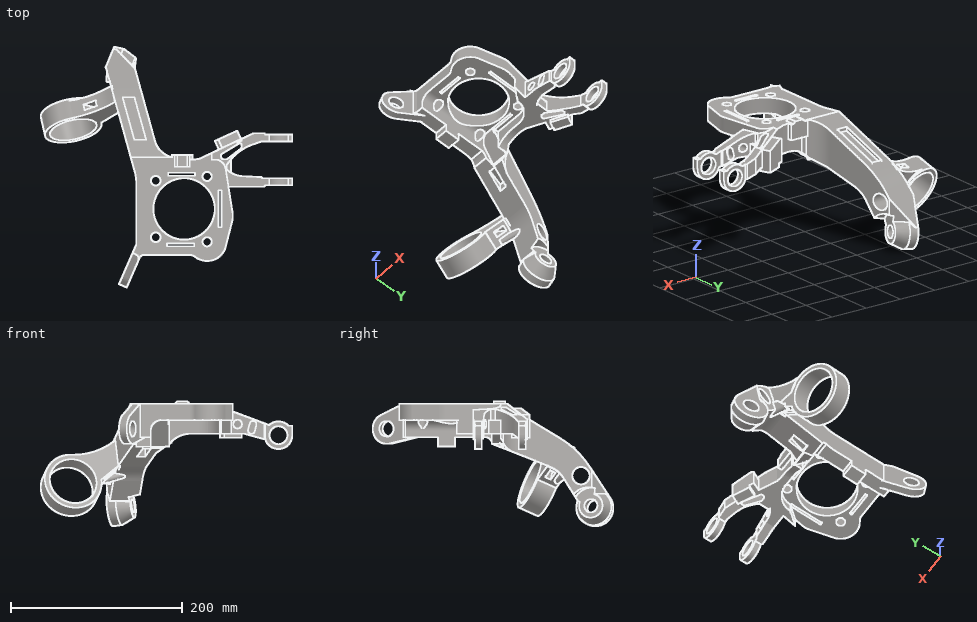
import cadquery as cq
import math


PLATE_THICKNESS = 19.4
PLATE_LEFT = -55.7
PLATE_FRONT = -53.7
PLATE_BACK = 57.5
BORE_DIAMETER = 71.3
LEFT_HOLE_DIAMETER = 11.0
RIGHT_HOLE_DIAMETER = 10.4
LEFT_HOLES = [(-33.0, 32.8), (-33.0, -33.0)]
REAR_RIGHT_HOLE = (26.8, 37.8)
FRONT_RIGHT_HOLE = (26.8, -38.3)
CORNER_RADIUS = 22.5
SLOT_WIDTH = 3.0

LEG_DEPTH = 39.5
LEG_INNER_X = -38.7
LEG_FILLET = 12.0
TAB_DEPTH = 50.3
TAB_LENGTH = 20.1
TAB_CENTER_Y = -5.6
REAR_WALL_DEPTH = 35.3
HOLLOW_CENTER = (17.6, 23.0)
HOLLOW_RADIUS = 24.0
WALL_END_Y = 5.0
WALL_RIGHT = 60.0
WALL_LEFT = -17.0
WALL_LEFT_Z = -47.0
WALL_SLOPE_START_Y = 38.5
WALL_SLOPE_END_Z = -51.5

CLIP_HEIGHT = 2.9
CLIP_CHAMFER = 3.0
CLIP_CENTER_X = -2.1
CLIP_BACK = 63.0
CLIP_FRONT = 49.3
CLIP_WIDTH = 17.2
CLIP_HEAD_WIDTH = 24.2
CLIP_HEAD_DEPTH = 5.3

ARM_ROOT_Y = 41.4
ARM_BACK_Y = 60.3
ARM_LEAN = 0.276
ARM_LEFT_AT_BACK = -62.3
ARM_WIDTH_X = 33.7
ARM_FLARE_X = -14.2
ARM_FLARE_Y = 80.0
ARM_END_Y = 163.5
ARM_REACH_Y = 190.0
ARM_TOP_SLOPE = 0.607
ARM_BEND_Y = 129.8
ARM_HOLE_DIAMETER = 20.0
ARM_HOLE_YZ = (151.0, -84.0)
ARM_POCKET_DEPTH = 5.0
ARM_POCKET_WIDTH = 13.8
ARM_POCKET_INSET = 9.9
ARM_POCKET_END_Y = 80.6
UNDER_POCKET_NEAR_Y = 62.0
UNDER_POCKET_FAR_Y = 86.0
UNDER_POCKET_INSET = 14.5
UNDER_POCKET_WIDTH = 9.5
UNDER_POCKET_ROOF_Z = -50.0

BALL_FACE_CENTER = (-85.3, 168.3, -122.1)
BALL_AXIS = (0.968, -0.22, 0.12)
BALL_RADIUS = 21.0
BALL_TIP_RADIUS = 14.0
BALL_RIM_LENGTH = 11.0
BALL_LENGTH = 26.7
BALL_HOLE_RADIUS = 9.6
BALL_HOLE_TIP_RADIUS = 7.7
TIP_CLEARANCE_RADIUS = 21.0

RING_FACE_CENTER = (-129.0, 92.2, -90.3)
RING_NORMAL = (0.2, -0.894, 0.402)
RING_X_DIR = (0.98, 0.182, -0.082)
RING_LENGTH = 24.5
RING_OUTER_RADIUS = 33.8
RING_BORE_RADIUS = 27.75
RING_SLOT_WIDTH = 14.0
RING_SLOT_THICKNESS = 7.0
RING_SLOT_DEPTH = 9.5
RING_SLOT_CENTER = (33.0, 28.0)
RING_SLOT_LENGTH = 70.0
RING_WEB_THINNING = 3.2
RING_TAPER_START = 22.0
RING_TAPER_END = 38.0
GUSSET_RADIUS = 4.0
GUSSET_DEPTH = 21.0
GUSSET_START = (39.5, 13.5)
GUSSET_END = (77.3, 28.5)

EYE_X = 109.8
EYE_Z = -36.9
EYE_RADIUS = 16.2
EYE_HOLE_RADIUS = 10.3
EYE_THICKNESS = 8.3
EYE_FRONT_FACES = [27.4, 78.4]
EYE_STOP_TOP = -25.6
EYE_STOP_LENGTH = 8.0
FORK_TOP_START_X = 31.9
FORK_TOP_SLOPE = 0.372
FORK_END_X = 98.9
FORK_WINDOW_FILLET = 1.8
FORK_HOLE_RADIUS = 5.1
FORK_HOLE_XZ = (62.3, -24.0)
FORK_SLOT_XZ = (79.3, -27.8)
FORK_SLOT_LENGTH = 15.4
FORK_SLOT_WIDTH = 8.0
FORK_SLOT_LEAN = 75.0
PRONG_CUT_FRONT = 20.0
PRONG_CUT_LENGTH = 30.0
BRIDGE_START_X = 45.0
BRIDGE_END_X = 54.6
BRIDGE_CENTER_Y = 50.5
BRIDGE_WIDTH = 14.0
BLOCK_ORIGIN = (41.0, 67.5, 0)
BLOCK_ANGLE = 24.6
BLOCK_LENGTH = 28.8
BLOCK_WIDTH = 12.8
BLOCK_TOP_Z = -5.3
BLOCK_END_Z = -13.0
BLOCK_DEPTH = 40.0
BLOCK_ROUND = 4.5
BLOCK_FOOT_INSET = 6.5

LUG_THICKNESS = 10.0
LUG_ANGLE = 23.6
LUG_ROOT = (-54.9, -39.4)
LUG_EYE_DISTANCE = 35.0
LUG_EYE_Z = -29.4
LUG_UPPER_ANGLE = 66.0
LUG_LOWER_ANGLE = -100.0
LUG_FLAT_LENGTH = 13.0
LUG_RADIUS = 17.6
LUG_HOLE_DIAMETER = 18.0

TOOL_REACH = 200.0
MARGIN = 5.0


def prism_z(sketch, bottom, top):
    """Extrude a closed XY outline between two heights."""
    return sketch.extrude(top - bottom).translate((0, 0, bottom))


def xy_outline():
    return cq.Workplane("XY")


def fork_top_z(x):
    return -FORK_TOP_SLOPE * (x - FORK_TOP_START_X)


def arm_left_x(y):
    return ARM_LEFT_AT_BACK - ARM_LEAN * (y - ARM_BACK_Y)


def arm_top_z(y):
    return -ARM_TOP_SLOPE * (y - ARM_BACK_Y)


def plate_outline():
    corner_x, corner_y = FRONT_RIGHT_HOLE
    bulge_angle = math.radians(-60)
    return (
        xy_outline()
        .moveTo(PLATE_LEFT, PLATE_FRONT)
        .lineTo(6.7, PLATE_FRONT)
        .threePointArc((10.1, -54.4), (13.1, -56.15))
        .threePointArc(
            (corner_x + CORNER_RADIUS * math.cos(bulge_angle),
             corner_y + CORNER_RADIUS * math.sin(bulge_angle)),
            (48.0, -46.0),
        )
        .lineTo(56.2, -14.0)
        .threePointArc((56.9, -8.0), (56.2, -2.0))
        .lineTo(48.5, 45.6)
        .threePointArc((45.0, 53.5), (38.0, PLATE_BACK))
        .lineTo(-10.0, PLATE_BACK)
        .lineTo(ARM_FLARE_X, ARM_BACK_Y)
        .lineTo(arm_left_x(ARM_BACK_Y), ARM_BACK_Y)
        .lineTo(arm_left_x(ARM_ROOT_Y), ARM_ROOT_Y)
        .threePointArc((-56.0, 34.6), (PLATE_LEFT, 27.7))
        .close()
    )


def make_rear_wall():
    """Wall under the rear edge, hollowed around the rear right bolt, with a sloping left end."""
    hollow_x, hollow_y = HOLLOW_CENTER
    hollow_top = hollow_y + HOLLOW_RADIUS
    hollow_right = hollow_x + HOLLOW_RADIUS
    outline = (
        xy_outline()
        .moveTo(WALL_LEFT, hollow_top)
        .lineTo(hollow_x, hollow_top)
        .radiusArc((hollow_right, hollow_y), HOLLOW_RADIUS)
        .lineTo(56.0, WALL_END_Y)
        .lineTo(WALL_RIGHT, WALL_END_Y)
        .lineTo(WALL_RIGHT, ARM_BACK_Y)
        .lineTo(WALL_LEFT, ARM_BACK_Y)
        .close()
    )
    profile = (
        cq.Workplane("XZ")
        .moveTo(WALL_LEFT, 0)
        .lineTo(WALL_LEFT, WALL_LEFT_Z)
        .threePointArc((-6.5, -38.6), (6.0, -REAR_WALL_DEPTH))
        .lineTo(WALL_RIGHT, -REAR_WALL_DEPTH)
        .lineTo(WALL_RIGHT, 0)
        .close()
        .extrude(TOOL_REACH, both=True)
    )
    wall = prism_z(outline, WALL_LEFT_Z, 0).intersect(profile)
    slope = (
        cq.Workplane("YZ")
        .polyline([
            (WALL_SLOPE_START_Y, 0),
            (WALL_SLOPE_START_Y, -PLATE_THICKNESS),
            (ARM_BACK_Y, WALL_SLOPE_END_Z),
            (ARM_BACK_Y, 0),
        ])
        .close()
        .extrude(WALL_LEFT - LEG_INNER_X)
        .translate((LEG_INNER_X, 0, 0))
    )
    return wall.union(slope)


def make_plate():
    """Hub plate with its deep left leg and rear wall."""
    plate = prism_z(plate_outline(), -PLATE_THICKNESS, 0)

    leg_profile = (
        cq.Workplane("XZ")
        .moveTo(PLATE_LEFT - MARGIN, 0)
        .lineTo(PLATE_LEFT - MARGIN, -LEG_DEPTH)
        .lineTo(LEG_INNER_X, -LEG_DEPTH)
        .lineTo(LEG_INNER_X, -PLATE_THICKNESS - LEG_FILLET)
        .radiusArc((LEG_INNER_X + LEG_FILLET, -PLATE_THICKNESS), LEG_FILLET)
        .lineTo(LEG_INNER_X + LEG_FILLET, 0)
        .close()
    )
    leg = leg_profile.extrude(ARM_BACK_Y - PLATE_FRONT).translate((0, ARM_BACK_Y, 0))

    tab_width = LEG_INNER_X - PLATE_LEFT
    tab = cq.Workplane("XY").box(tab_width, TAB_LENGTH, TAB_DEPTH, centered=(False, True, False))
    tab = tab.translate((PLATE_LEFT, TAB_CENTER_Y, -TAB_DEPTH))

    full_depth = prism_z(plate_outline(), -TAB_DEPTH, 0)
    below = leg.union(make_rear_wall()).intersect(full_depth)
    return plate.union(below).union(tab)


def cut_plate_openings(body):
    """Open the hub bore, bolt holes and narrow slots through the plate."""
    low = -TAB_DEPTH - MARGIN

    def drill(points, diameter):
        return prism_z(xy_outline().pushPoints(points).circle(diameter / 2), low, MARGIN)

    body = body.cut(drill([(0, 0)], BORE_DIAMETER))
    body = body.cut(drill(LEFT_HOLES, LEFT_HOLE_DIAMETER))
    body = body.cut(drill([REAR_RIGHT_HOLE, FRONT_RIGHT_HOLE], RIGHT_HOLE_DIAMETER))

    slots = [
        ((-2.9, 40.3), 30.6, SLOT_WIDTH),
        ((-4.1, -41.8), 31.3, SLOT_WIDTH),
        ((41.8, 0.2), SLOT_WIDTH, 43.0),
    ]
    for center, size_x, size_y in slots:
        body = body.cut(prism_z(xy_outline().center(*center).rect(size_x, size_y), low, MARGIN))
    return body


def make_clip():
    """Raised T-shaped pad on the rear edge of the plate."""
    half = CLIP_WIDTH / 2
    stem = (
        cq.Workplane("XZ")
        .polyline([
            (-half, -PLATE_THICKNESS),
            (-half, 0),
            (-half + CLIP_CHAMFER, CLIP_HEIGHT),
            (half - CLIP_CHAMFER, CLIP_HEIGHT),
            (half, 0),
            (half, -PLATE_THICKNESS),
        ])
        .close()
        .extrude(CLIP_BACK - CLIP_FRONT)
        .translate((CLIP_CENTER_X, CLIP_BACK, 0))
    )
    head = cq.Workplane("XY").box(
        CLIP_HEAD_WIDTH, CLIP_HEAD_DEPTH, PLATE_THICKNESS, centered=(True, False, False)
    )
    return stem.union(head.translate((CLIP_CENTER_X, CLIP_BACK - CLIP_HEAD_DEPTH, -PLATE_THICKNESS)))


def ball_plane(offset=0.0):
    """Plane square to the ball joint axis, at a distance along it from the outer face."""
    length = math.sqrt(sum(c * c for c in BALL_AXIS))
    origin = tuple(p + offset * c / length for p, c in zip(BALL_FACE_CENTER, BALL_AXIS))
    return cq.Plane(origin=origin, xDir=(0, 0, 1), normal=BALL_AXIS)


def make_arm():
    """Leaning, drooping arm that carries the ball joint end."""
    end_left = arm_left_x(ARM_REACH_Y)
    outline = (
        xy_outline()
        .moveTo(arm_left_x(ARM_ROOT_Y), ARM_ROOT_Y)
        .lineTo(LEG_INNER_X, ARM_ROOT_Y)
        .lineTo(LEG_INNER_X, ARM_BACK_Y)
        .lineTo(ARM_FLARE_X, ARM_BACK_Y)
        .threePointArc((-26.5, 67.0), (arm_left_x(ARM_FLARE_Y) + ARM_WIDTH_X, ARM_FLARE_Y))
        .lineTo(arm_left_x(ARM_END_Y) + ARM_WIDTH_X, ARM_END_Y)
        .lineTo(end_left + 15.0, ARM_REACH_Y)
        .lineTo(end_left - 10.0, ARM_REACH_Y)
        .lineTo(arm_left_x(ARM_END_Y), ARM_END_Y)
        .close()
    )
    profile = (
        cq.Workplane("YZ")
        .moveTo(ARM_ROOT_Y, 0)
        .lineTo(ARM_BACK_Y, 0)
        .lineTo(ARM_BEND_Y, arm_top_z(ARM_BEND_Y))
        .threePointArc((148.5, -57.6), (162.8, -76.0))
        .lineTo(186.0, -111.2)
        .lineTo(168.8, -122.0)
        .lineTo(147.2, -113.4)
        .lineTo(132.5, -90.0)
        .threePointArc((125.5, -80.5), (115.0, -73.5))
        .lineTo(48.0, -47.2)
        .threePointArc((45.5, -42.0), (ARM_ROOT_Y, -LEG_DEPTH))
        .close()
        .extrude(TOOL_REACH, both=True)
    )
    arm = prism_z(outline, -TOOL_REACH, 0).intersect(profile)

    outer_side = cq.Workplane(ball_plane()).rect(TOOL_REACH, TOOL_REACH).extrude(-TOOL_REACH)
    end_zone = cq.Workplane("XY").box(TOOL_REACH, TOOL_REACH, TOOL_REACH, centered=(True, False, True))
    end_zone = end_zone.translate(BALL_FACE_CENTER).translate((0, -BALL_RADIUS, 0))
    arm = arm.cut(outer_side.intersect(end_zone))

    drill = (
        cq.Workplane("YZ")
        .center(*ARM_HOLE_YZ)
        .circle(ARM_HOLE_DIAMETER / 2)
        .extrude(TOOL_REACH, both=True)
    )
    tip_clearance = cq.Workplane(ball_plane(BALL_LENGTH)).circle(TIP_CLEARANCE_RADIUS).extrude(TOOL_REACH)
    arm = arm.cut(drill).cut(tip_clearance)
    relief = (
        cq.Workplane("XZ")
        .polyline([(-33.0, -58.0), (WALL_LEFT, WALL_LEFT_Z), (-10.0, -43.0), (-10.0, -70.0), (-33.0, -70.0)])
        .close()
        .extrude(-TOOL_REACH)
    )
    arm = arm.cut(relief)
    return arm.cut(make_arm_pocket()).cut(make_underside_pocket())


def make_arm_pocket():
    """Shallow channel sunk into the straight upper run of the arm."""
    near = arm_left_x(ARM_POCKET_END_Y) + ARM_POCKET_INSET
    far = arm_left_x(ARM_BEND_Y) + ARM_POCKET_INSET
    outline = xy_outline().polyline([
        (near, ARM_POCKET_END_Y),
        (near + ARM_POCKET_WIDTH, ARM_POCKET_END_Y),
        (far + ARM_POCKET_WIDTH, ARM_BEND_Y),
        (far, ARM_BEND_Y),
    ]).close()
    band = (
        cq.Workplane("YZ")
        .polyline([
            (ARM_BACK_Y, MARGIN),
            (ARM_BEND_Y, arm_top_z(ARM_BEND_Y) + MARGIN),
            (ARM_BEND_Y, arm_top_z(ARM_BEND_Y) - ARM_POCKET_DEPTH),
            (ARM_BACK_Y, -ARM_POCKET_DEPTH),
        ])
        .close()
        .extrude(TOOL_REACH, both=True)
    )
    return prism_z(outline, -TOOL_REACH, MARGIN).intersect(band)


def make_underside_pocket():
    """Narrow leaning pocket opened upwards from the underside of the arm."""
    near = arm_left_x(UNDER_POCKET_NEAR_Y) + UNDER_POCKET_INSET
    far = arm_left_x(UNDER_POCKET_FAR_Y) + UNDER_POCKET_INSET
    outline = xy_outline().polyline([
        (near, UNDER_POCKET_NEAR_Y),
        (near + UNDER_POCKET_WIDTH, UNDER_POCKET_NEAR_Y),
        (far + UNDER_POCKET_WIDTH, UNDER_POCKET_FAR_Y),
        (far, UNDER_POCKET_FAR_Y),
    ]).close()
    return prism_z(outline, -TOOL_REACH, UNDER_POCKET_ROOF_Z)


def make_ball_end():
    """Ball joint seat: a rim that tapers to a smaller inner face."""
    rim = cq.Workplane(ball_plane()).circle(BALL_RADIUS).extrude(BALL_RIM_LENGTH)
    cone = (
        cq.Workplane(ball_plane(BALL_RIM_LENGTH))
        .circle(BALL_RADIUS)
        .workplane(offset=BALL_LENGTH - BALL_RIM_LENGTH)
        .circle(BALL_TIP_RADIUS)
        .loft()
    )
    return rim.union(cone)


def make_ball_hole():
    return (
        cq.Workplane(ball_plane())
        .circle(BALL_HOLE_RADIUS)
        .workplane(offset=BALL_LENGTH)
        .circle(BALL_HOLE_TIP_RADIUS)
        .loft()
    )


def ring_workplane():
    return cq.Workplane(cq.Plane(origin=RING_FACE_CENTER, xDir=RING_X_DIR, normal=RING_NORMAL))


def make_ring():
    """Damper clamp ring with the slotted web that joins it to the arm."""
    ring = ring_workplane().circle(RING_OUTER_RADIUS).extrude(-RING_LENGTH)
    web = (
        ring_workplane()
        .moveTo(0, RING_OUTER_RADIUS)
        .threePointArc((27.6, 41.3), (49.4, 56.5))
        .lineTo(50.2, 56.6)
        .lineTo(56.0, 24.0)
        .lineTo(53.0, 23.7)
        .lineTo(33.6, 5.0)
        .lineTo(0, 0)
        .close()
        .extrude(-RING_LENGTH)
    )
    slot = (
        ring_workplane()
        .transformed(
            offset=(RING_SLOT_CENTER[0], RING_SLOT_CENTER[1], -RING_SLOT_DEPTH),
            rotate=(0, 0, -45),
        )
        .box(RING_SLOT_LENGTH, RING_SLOT_WIDTH, RING_SLOT_THICKNESS)
    )
    bore = ring_workplane().circle(RING_BORE_RADIUS).extrude(-RING_LENGTH)
    back = -RING_LENGTH
    thinned_back = back + RING_WEB_THINNING
    side_plane = cq.Plane(
        origin=RING_FACE_CENTER,
        xDir=ring_workplane().plane.yDir.toTuple(),
        normal=RING_X_DIR,
    )
    taper = (
        cq.Workplane(side_plane)
        .polyline([
            (RING_TAPER_START, back),
            (RING_TAPER_END, thinned_back),
            (2 * RING_TAPER_END, thinned_back),
            (2 * RING_TAPER_END, back - MARGIN),
            (RING_TAPER_START, back - MARGIN),
        ])
        .close()
        .extrude(TOOL_REACH, both=True)
    )
    web = web.cut(taper)
    return ring.union(web).cut(slot).cut(bore).union(make_ring_gusset())


def make_ring_gusset():
    """Triangular gusset between web and arm underside, with a rounded lower edge."""
    middle = ring_workplane().workplane(offset=-GUSSET_DEPTH)
    plate = (
        middle.polyline([GUSSET_START, GUSSET_END, (57.0, 32.0), (46.0, 27.0)])
        .close()
        .extrude(GUSSET_RADIUS, both=True)
    )
    start = middle.plane.toWorldCoords(GUSSET_START)
    run = middle.plane.toWorldCoords(GUSSET_END) - start
    edge = cq.Workplane(cq.Solid.makeCylinder(GUSSET_RADIUS, run.Length, start, run))
    return plate.union(edge)


def make_fork():
    """Two-pronged fork on the right with a pair of bushing eyes."""
    near_front = EYE_FRONT_FACES[0]
    near_back = near_front + EYE_THICKNESS
    far_front = EYE_FRONT_FACES[1]
    far_back = far_front + EYE_THICKNESS
    outline = (
        xy_outline()
        .moveTo(35.0, 42.0)
        .lineTo(46.0, 35.0)
        .lineTo(50.0, 25.7)
        .lineTo(93.2, 25.7)
        .lineTo(94.5, near_front)
        .lineTo(FORK_END_X, near_front)
        .lineTo(FORK_END_X, near_back)
        .lineTo(91.5, near_back)
        .lineTo(89.9, 37.2)
        .lineTo(66.7, 38.3)
        .threePointArc((57.0, 41.0), (49.5, 46.0))
        .lineTo(49.5, 51.0)
        .threePointArc((64.0, 66.5), (83.3, 76.0))
        .lineTo(90.3, far_front)
        .lineTo(FORK_END_X, far_front)
        .lineTo(FORK_END_X, far_back)
        .lineTo(94.9, far_back)
        .lineTo(93.2, 88.3)
        .lineTo(81.0, 88.3)
        .lineTo(18.0, 58.5)
        .lineTo(10.9, PLATE_BACK)
        .lineTo(14.0, 50.0)
        .close()
    )
    window = (
        xy_outline()
        .polyline([(42.5, 63.0), (66.5, 77.5), (67.0, 71.0), (50.0, 58.0), (44.0, 58.0)])
        .close()
        .extrude(-TOOL_REACH)
        .edges("|Z")
        .fillet(FORK_WINDOW_FILLET)
    )
    profile = (
        cq.Workplane("XZ")
        .polyline([
            (10.0, 0),
            (FORK_TOP_START_X, 0),
            (FORK_END_X, fork_top_z(FORK_END_X)),
            (FORK_END_X, -43.2),
            (70.0, -REAR_WALL_DEPTH),
            (10.0, -REAR_WALL_DEPTH),
        ])
        .close()
        .extrude(TOOL_REACH, both=True)
    )
    fork = prism_z(outline, -TOOL_REACH, 0).intersect(profile).cut(window)

    bridge = cq.Workplane("XY").box(
        BRIDGE_END_X - BRIDGE_START_X,
        BRIDGE_WIDTH,
        REAR_WALL_DEPTH - PLATE_THICKNESS,
        centered=(False, True, False),
    )
    bridge = bridge.translate((BRIDGE_START_X, BRIDGE_CENTER_Y, -REAR_WALL_DEPTH))
    fork = fork.union(bridge).union(make_fork_block())
    return fork.cut(make_fork_openings())


def make_fork_block():
    """Block on the outer flank of the far prong, rounded at its inboard end, with a shorter foot."""
    lean = math.radians(BLOCK_ANGLE)
    plane = cq.Plane(
        origin=BLOCK_ORIGIN,
        xDir=(math.cos(lean), math.sin(lean), 0),
        normal=(math.sin(lean), -math.cos(lean), 0),
    )
    return (
        cq.Workplane(plane)
        .moveTo(0, BLOCK_TOP_Z - BLOCK_ROUND)
        .radiusArc((BLOCK_ROUND, BLOCK_TOP_Z), BLOCK_ROUND)
        .lineTo(BLOCK_LENGTH, BLOCK_END_Z)
        .lineTo(BLOCK_LENGTH, -BLOCK_DEPTH)
        .lineTo(BLOCK_FOOT_INSET, -BLOCK_DEPTH)
        .lineTo(BLOCK_FOOT_INSET, -REAR_WALL_DEPTH)
        .lineTo(0, -REAR_WALL_DEPTH)
        .close()
        .extrude(-BLOCK_WIDTH)
    )


def make_fork_openings():
    """Round hole and leaning slot through the near prong."""
    prong = cq.Workplane("XZ", origin=(0, PRONG_CUT_FRONT, 0))
    hole = prong.center(*FORK_HOLE_XZ).circle(FORK_HOLE_RADIUS).extrude(-PRONG_CUT_LENGTH)
    slot = (
        prong.center(*FORK_SLOT_XZ)
        .slot2D(FORK_SLOT_LENGTH, FORK_SLOT_WIDTH, FORK_SLOT_LEAN)
        .extrude(-PRONG_CUT_LENGTH)
    )
    return hole.union(slot)


def make_eye(front_y):
    """Bushing eye with a squared stop on its outer upper quarter."""
    plane = cq.Workplane("XZ", origin=(0, front_y, 0))
    disc = plane.center(EYE_X, EYE_Z).circle(EYE_RADIUS).extrude(-EYE_THICKNESS)
    stop_end = EYE_X + EYE_RADIUS
    stop = (
        plane.moveTo(stop_end - EYE_STOP_LENGTH, EYE_STOP_TOP)
        .lineTo(stop_end, EYE_STOP_TOP)
        .lineTo(stop_end, EYE_Z)
        .lineTo(stop_end - EYE_STOP_LENGTH, EYE_Z)
        .close()
        .extrude(-EYE_THICKNESS)
    )
    return disc.union(stop)


def make_eye_holes():
    return (
        cq.Workplane("XZ")
        .center(EYE_X, EYE_Z)
        .circle(EYE_HOLE_RADIUS)
        .extrude(-TOOL_REACH)
    )


def make_lug():
    """Flat lug leaning out of the front left corner, drilled square to its faces."""
    lean = math.radians(LUG_ANGLE)
    direction = (-math.sin(lean), -math.cos(lean), 0)
    inward = (math.cos(lean), -math.sin(lean), 0)
    plane = cq.Plane(origin=(LUG_ROOT[0], LUG_ROOT[1], 0), xDir=direction, normal=(-inward[0], -inward[1], 0))
    upper = math.radians(LUG_UPPER_ANGLE)
    lower = math.radians(LUG_LOWER_ANGLE)
    top_point = (
        LUG_EYE_DISTANCE + LUG_RADIUS * math.cos(upper),
        LUG_EYE_Z + LUG_RADIUS * math.sin(upper),
    )
    bottom_point = (
        LUG_EYE_DISTANCE + LUG_RADIUS * math.cos(lower),
        LUG_EYE_Z + LUG_RADIUS * math.sin(lower),
    )
    lug = (
        cq.Workplane(plane)
        .moveTo(0, 0)
        .lineTo(LUG_FLAT_LENGTH, 0)
        .lineTo(*top_point)
        .threePointArc((LUG_EYE_DISTANCE + LUG_RADIUS, LUG_EYE_Z), bottom_point)
        .lineTo(0, -LEG_DEPTH)
        .close()
        .extrude(-LUG_THICKNESS)
    )
    hole = (
        cq.Workplane(plane)
        .center(LUG_EYE_DISTANCE, LUG_EYE_Z)
        .circle(LUG_HOLE_DIAMETER / 2)
        .extrude(-LUG_THICKNESS)
    )
    corner = prism_z(
        xy_outline()
        .moveTo(-52.8, -59.2)
        .threePointArc((-50.6, -55.3), (-47.5, PLATE_FRONT))
        .lineTo(-54.0, PLATE_FRONT)
        .close(),
        -LEG_DEPTH,
        0,
    )
    return lug.cut(hole).union(corner)


body = make_plate().union(make_arm()).union(make_fork())
body = cut_plate_openings(body).union(make_clip())
for eye_front in EYE_FRONT_FACES:
    body = body.union(make_eye(eye_front))
body = body.cut(make_eye_holes())
body = body.union(make_ball_end()).cut(make_ball_hole())
body = body.union(make_ring())
result = body.union(make_lug())